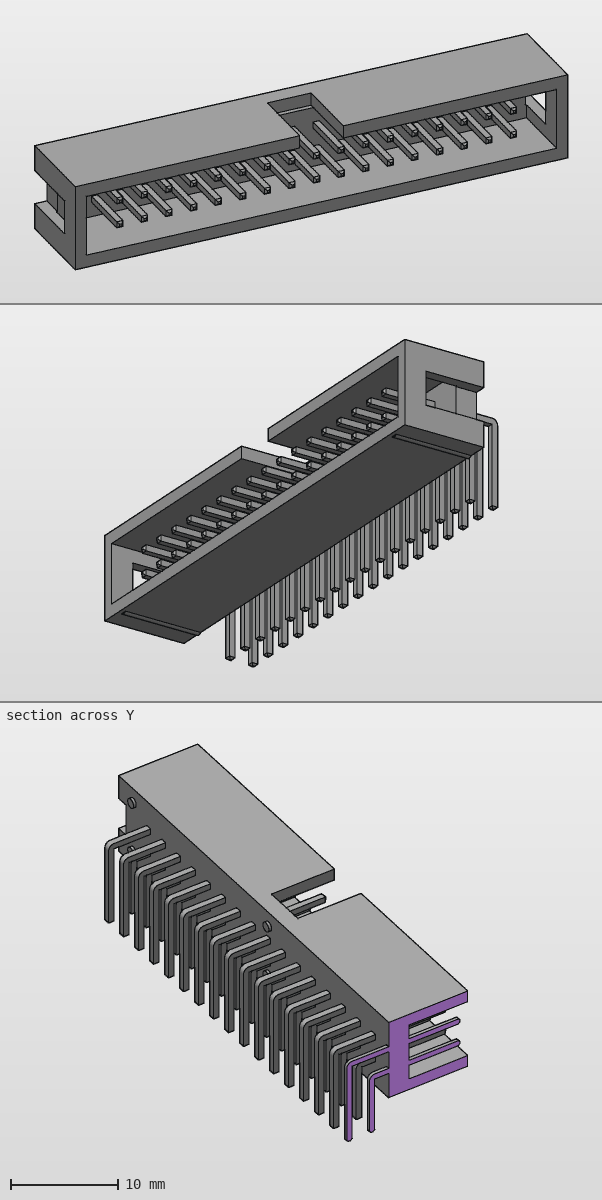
import cadquery as cq

PITCH = 2.54
PINS_PER_ROW = 17
PIN_SIZE = 0.64
PIN_TIP_CHAMFER = 0.2
PIN_MATING_END_X = 8.0
OVERALL_X = 13.55
OVERALL_Z = 12.1

HOUSING_DEPTH = 8.85
HOUSING_LENGTH = 50.84
HOUSING_HEIGHT = 8.85
WALL = 1.3
END_WALL = 1.15
CAVITY_FLOOR_X = 2.3

END_SLOT_HEIGHT = 3.5
END_SLOT_DEPTH = 1.25
END_SLOT_FRONT_X = 6.45

KEY_NOTCH_WIDTH = 4.5
KEY_NOTCH_BACK_X = 1.8

STANDOFF_DIAMETER = 1.0
STANDOFF_HEIGHT = 0.3
STANDOFF_Z = 2.85
STANDOFF_END_INSET = 2.5

RIB_DIAMETER = 1.0
RIB_HEIGHT = 0.15
RIB_LENGTH = 8.4

HOUSING_TOP_Z = HOUSING_HEIGHT / 2
HOUSING_BOTTOM_Z = -HOUSING_HEIGHT / 2
PIN_BOTTOM_Z = HOUSING_TOP_Z - OVERALL_Z
OUTER_LEG_X = HOUSING_DEPTH - OVERALL_X + PIN_SIZE / 2
INNER_LEG_X = OUTER_LEG_X + PITCH
ROW_Z = PITCH / 2
STANDOFF_Y = HOUSING_LENGTH / 2 - STANDOFF_END_INSET


def block(x_range, y_range, z_range):
    """Box spanning the given (low, high) ranges."""
    lows = [span[0] for span in (x_range, y_range, z_range)]
    sizes = [span[1] - span[0] for span in (x_range, y_range, z_range)]
    return cq.Workplane("XY").box(*sizes, centered=False).translate(tuple(lows))


def make_housing():
    """Shroud with the mating cavity, keying notch and end-wall slots cut out."""
    half_length = HOUSING_LENGTH / 2
    inner_half_length = half_length - END_WALL
    inner_half_height = HOUSING_HEIGHT / 2 - WALL
    slot_floor_y = half_length - END_SLOT_DEPTH
    housing = block(
        (0, HOUSING_DEPTH),
        (-half_length, half_length),
        (HOUSING_BOTTOM_Z, HOUSING_TOP_Z),
    )
    cavity = block(
        (CAVITY_FLOOR_X, HOUSING_DEPTH),
        (-inner_half_length, inner_half_length),
        (-inner_half_height, inner_half_height),
    )
    key_notch = block(
        (KEY_NOTCH_BACK_X, HOUSING_DEPTH),
        (-KEY_NOTCH_WIDTH / 2, KEY_NOTCH_WIDTH / 2),
        (inner_half_height, HOUSING_TOP_Z),
    )
    housing = housing.cut(cavity).cut(key_notch)
    for y_range in ((-half_length, -slot_floor_y), (slot_floor_y, half_length)):
        end_slot = block(
            (0, END_SLOT_FRONT_X),
            y_range,
            (-END_SLOT_HEIGHT / 2, END_SLOT_HEIGHT / 2),
        )
        housing = housing.cut(end_slot)
    return housing


def make_pin(leg_x, row_z):
    """Bent pin at Y = 0: a mating arm along X and a solder leg along -Z."""
    half = PIN_SIZE / 2
    arm = block((leg_x - half, PIN_MATING_END_X), (-half, half), (row_z - half, row_z + half))
    leg = block((leg_x - half, leg_x + half), (-half, half), (PIN_BOTTOM_Z, row_z + half))
    pin = arm.union(leg)
    outer_corner = (leg_x - half, 0, row_z + half)
    pin = pin.edges(cq.NearestToPointSelector(outer_corner)).fillet(PIN_SIZE)
    return pin.faces(">X or <Z").chamfer(PIN_TIP_CHAMFER)


def make_standoffs():
    """Two rows of three standoffs on the back face."""
    centres = [(y, z) for y in (-STANDOFF_Y, 0, STANDOFF_Y) for z in (-STANDOFF_Z, STANDOFF_Z)]
    return (
        cq.Workplane("YZ")
        .pushPoints(centres)
        .circle(STANDOFF_DIAMETER / 2)
        .extrude(-STANDOFF_HEIGHT)
    )


def make_ribs():
    """Two rods along X, sunk into the bottom wall so that only a low rib stands proud."""
    axis_z = HOUSING_BOTTOM_Z - RIB_HEIGHT + RIB_DIAMETER / 2
    return (
        cq.Workplane("YZ")
        .pushPoints([(-STANDOFF_Y, axis_z), (STANDOFF_Y, axis_z)])
        .circle(RIB_DIAMETER / 2)
        .extrude(RIB_LENGTH)
    )


result = make_housing().union(make_standoffs()).union(make_ribs())
upper_pin = make_pin(OUTER_LEG_X, ROW_Z)
lower_pin = make_pin(INNER_LEG_X, -ROW_Z)
for index in range(PINS_PER_ROW):
    pin_y = (index - (PINS_PER_ROW - 1) / 2) * PITCH
    for pin in (upper_pin, lower_pin):
        result = result.union(pin.translate((0, pin_y, 0)))